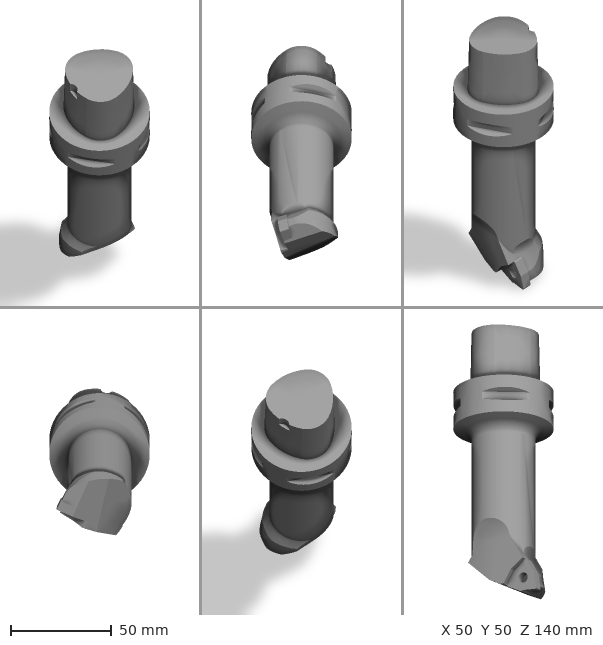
import cadquery as cq
import math

SHANK_HEIGHT = 30.0
LOBE_REACH = 18.5
SIDE_REACH = 16.5
SIDE_RADIUS = 26.7
SHANK_INSET = 0.75
LOBE_TURNS = (0, 120, 240)
NOTCH_RADIUS = 3.65
NOTCH_DEPTH = 5.6
NOTCH_FLOOR_Y = -14.0

FLANGE_RADIUS = 25.0
FLANGE_HEIGHT = 19.6
FLARE_RADIUS = 19.5
FLARE_Z = -21.2
FLARE_SAG = 0.9
NECK_RADIUS = 16.0
NECK_TOP_Z = -26.7
GRIP_SLOTS = 4
GRIP_FLAT_REACH = 22.0
GRIP_FLOOR_HEIGHT = 3.8
GRIP_MOUTH_HEIGHT = 7.0
GRIP_Z = -10.0

TOOL_END_Z = -110.0
SHOULDER_TOP_Z = -88.2
SHOULDER_Z = -94.2
SHOULDER_RADIUS = 19.3
CHEEK_END_RADIUS = 21.3
BELLY_RADIUS = 21.0
BELLY_X = -1.7
BELLY_Y = 2.15
BELLY_END_X = 8.2
SIDE_WALL_END = (13.7, -8.2)
NOSE_TOP_Z = -76.0
CUTTER_SIZE = 120.0
SLOPE_CORNER = (0.6, -102.4)
UPPER_SLOPE = 45.0
LOWER_SLOPE = 28.0

FLANK_POINT = (-15.15, -3.0, -91.5)
FLANK_NORMAL = (-1.0, -0.2, 0.498)
FLANK_RUNOUT_RADIUS = 6.0
FLANK_RUNOUT_TILT = 5.0

GULLET_POINT = (0.0, 12.45, -81.4)
GULLET_NORMAL = (-0.22, 1.0, -0.12)
GULLET_RUNOUT_RADIUS = 18.0
RAKE_NORMAL = (-0.24, 1.0, -0.15)

INSERT_SIDES = 3
INSERT_CIRCLE = 12.7
INSERT_THICKNESS = 4.76
INSERT_HOLE = 5.16
INSERT_NOSE_RADIUS = 0.8
INSERT_CORNER = 80.0
INSERT_BEND = 20.0
INSERT_LEAD = 5.0
INSERT_TIP = (-21.9, -0.2, -110.08)
SIDE_CLEARANCE = 0.6

POCKET_HEIGHT = 3 * INSERT_THICKNESS
CHIP_ROOM_Z = -105.7

SOLE_POINT = (-20.3, -4.0, -106.8)
SOLE_NORMAL = (-0.29, -0.17, -1.0)


def polar(radius, degrees):
    angle = math.radians(degrees)
    return (radius * math.cos(angle), radius * math.sin(angle))


def horizontal_along(normal):
    """Level direction in the plane, chosen so the plane's local Y points up."""
    return (-normal[1], normal[0], 0)


def plane_at(point, normal):
    return cq.Plane(point, horizontal_along(normal), normal)


def half_space(plane):
    """Large block covering the outer side of a plane."""
    return cq.Workplane(plane).rect(2 * CUTTER_SIZE, 2 * CUTTER_SIZE).extrude(CUTTER_SIZE)


def runout_cutter(plane, radius):
    """Half space that ends upward in a concave arc tangent to the plane."""
    bend_x, bend_y = polar(radius, -45)
    profile_plane = cq.Plane(plane.origin, plane.yDir, plane.xDir)
    return (
        cq.Workplane(profile_plane)
        .moveTo(-CUTTER_SIZE, 0)
        .lineTo(0, 0)
        .threePointArc((bend_x, radius + bend_y), (radius, radius))
        .lineTo(radius, CUTTER_SIZE)
        .lineTo(-CUTTER_SIZE, CUTTER_SIZE)
        .close()
        .extrude(CUTTER_SIZE, both=True)
    )


def make_shank():
    side_offset = SIDE_RADIUS - SIDE_REACH
    gap = SIDE_RADIUS - LOBE_REACH
    lobe_offset = (side_offset**2 - gap**2) / (2 * gap - side_offset)
    lobe_radius = LOBE_REACH - lobe_offset
    reach = SIDE_RADIUS - lobe_radius
    lobe_x, lobe_y = polar(lobe_offset, -30)
    join_x = lobe_x * SIDE_RADIUS / reach
    join_y = side_offset + (lobe_y - side_offset) * SIDE_RADIUS / reach
    join_radius = math.hypot(join_x, join_y)
    join_angle = math.degrees(math.atan2(join_y, join_x))

    outline = cq.Workplane("XY").moveTo(-join_x, join_y)
    for turn in LOBE_TURNS:
        outline = outline.threePointArc(
            polar(SIDE_REACH, turn - 90), polar(join_radius, join_angle + turn)
        )
        outline = outline.threePointArc(
            polar(LOBE_REACH, turn - 30), polar(join_radius, turn - 60 - join_angle)
        )
    taper = math.degrees(math.atan(SHANK_INSET / SHANK_HEIGHT))
    shank = outline.close().extrude(SHANK_HEIGHT, taper=taper)
    notch = (
        cq.Workplane("XY", origin=(0, NOTCH_FLOOR_Y - NOTCH_RADIUS, SHANK_HEIGHT - NOTCH_DEPTH))
        .circle(NOTCH_RADIUS)
        .extrude(NOTCH_DEPTH)
    )
    return shank.cut(notch)


def make_flange_and_neck():
    middle_radius = (FLARE_RADIUS + NECK_RADIUS) / 2 - FLARE_SAG
    middle_z = (FLARE_Z + NECK_TOP_Z) / 2 + FLARE_SAG
    turned = (
        cq.Workplane("XZ")
        .moveTo(0, 0)
        .lineTo(FLANGE_RADIUS, 0)
        .lineTo(FLANGE_RADIUS, -FLANGE_HEIGHT)
        .lineTo(FLARE_RADIUS, FLARE_Z)
        .threePointArc((middle_radius, middle_z), (NECK_RADIUS, NECK_TOP_Z))
        .lineTo(NECK_RADIUS, TOOL_END_Z)
        .lineTo(0, TOOL_END_Z)
        .close()
        .revolve(360, (0, 0, 0), (0, 1, 0))
    )
    half_floor = GRIP_FLOOR_HEIGHT / 2
    half_mouth = GRIP_MOUTH_HEIGHT / 2
    slot = (
        cq.Workplane("XZ", origin=(0, 0, GRIP_Z))
        .polyline([
            (GRIP_FLAT_REACH, -half_floor),
            (FLANGE_RADIUS, -half_mouth),
            (FLANGE_RADIUS, half_mouth),
            (GRIP_FLAT_REACH, half_floor),
        ])
        .close()
        .extrude(FLANGE_RADIUS, both=True)
    )
    for index in range(GRIP_SLOTS):
        angle = (index + 0.5) * 360 / GRIP_SLOTS
        turned = turned.cut(slot.rotate((0, 0, 0), (0, 0, 1), angle))
    return turned


def make_head_blank():
    """Head before the flank, chip face and underside are cut; the nose rises above the shoulder cone."""
    base = cq.Workplane("XY", origin=(0, 0, TOOL_END_Z))
    depth = NOSE_TOP_Z - TOOL_END_Z
    left_x = BELLY_X - BELLY_RADIUS
    belly_end_y = BELLY_Y - math.sqrt(BELLY_RADIUS**2 - (BELLY_END_X - BELLY_X)**2)
    column = (
        base.moveTo(left_x, BELLY_Y)
        .threePointArc((BELLY_X, BELLY_Y - BELLY_RADIUS), (BELLY_END_X, belly_end_y))
        .lineTo(*SIDE_WALL_END)
        .lineTo(SIDE_WALL_END[0], NECK_RADIUS)
        .lineTo(left_x, NECK_RADIUS)
        .close()
        .extrude(depth)
    )
    shoulder = (
        cq.Workplane("XZ")
        .polyline([
            (0, SHOULDER_TOP_Z),
            (NECK_RADIUS, SHOULDER_TOP_Z),
            (SHOULDER_RADIUS, SHOULDER_Z),
            (CHEEK_END_RADIUS, TOOL_END_Z),
            (0, TOOL_END_Z),
        ])
        .close()
        .revolve(360, (0, 0, 0), (0, 1, 0))
    )
    nose = base.rect(left_x, NECK_RADIUS, centered=False).extrude(depth)
    return column.intersect(shoulder.union(nose))


rake_plane = plane_at(INSERT_TIP, RAKE_NORMAL)


def trigon_outline():
    """Six equal edges, starting up the side cutting edge from the cutting corner."""
    half_corner = math.radians(INSERT_CORNER / 2)
    half_bend = math.radians(INSERT_BEND / 2)
    edge = INSERT_CIRCLE / 2 * (1 / math.tan(half_corner) + math.tan(half_bend))
    heading = 90 + INSERT_LEAD
    x, y = 0.0, 0.0
    outline = []
    for _ in range(INSERT_SIDES):
        for turn in (INSERT_BEND, 180 - INSERT_CORNER):
            outline.append((x, y))
            step_x, step_y = polar(edge, heading)
            x += step_x
            y += step_y
            heading += turn
    return outline


def insert_blank(height):
    """Trigon prism on the insert's seat, with rounded cutting corners."""
    outline = trigon_outline()
    seat = cq.Workplane(rake_plane).workplane(offset=-INSERT_THICKNESS)
    blank = seat.polyline(outline).close().extrude(height)
    for x, y in outline[::2]:
        corner = rake_plane.toWorldCoords((x, y, height / 2 - INSERT_THICKNESS))
        nearest = cq.selectors.NearestToPointSelector(corner.toTuple())
        blank = blank.edges(nearest).fillet(INSERT_NOSE_RADIUS)
    return blank


def make_insert():
    corner_reach = INSERT_CIRCLE / 2 / math.sin(math.radians(INSERT_CORNER / 2))
    middle_x, middle_y = polar(corner_reach, 90 + INSERT_LEAD + INSERT_CORNER / 2)
    hole = (
        cq.Workplane(rake_plane)
        .center(middle_x, middle_y)
        .circle(INSERT_HOLE / 2)
        .extrude(-INSERT_THICKNESS)
    )
    return insert_blank(INSERT_THICKNESS).cut(hole)


def side_clearance_plane():
    """Plane square to the rake face, set back behind the side cutting edge."""
    out_x, out_y = polar(1, INSERT_LEAD)
    point = rake_plane.toWorldCoords((-SIDE_CLEARANCE * out_x, -SIDE_CLEARANCE * out_y, 0))
    normal = rake_plane.toWorldCoords((out_x, out_y, 0)) - rake_plane.origin
    return cq.Plane(point, rake_plane.zDir, normal)


def underside_plane(slope):
    angle = math.radians(slope)
    corner_x, corner_z = SLOPE_CORNER
    return cq.Plane((corner_x, 0, corner_z), (0, 1, 0), (math.sin(angle), 0, -math.cos(angle)))


def make_holder():
    flank_plane = plane_at(FLANK_POINT, FLANK_NORMAL)
    gullet_plane = plane_at(GULLET_POINT, GULLET_NORMAL)
    runout_plane = flank_plane.rotated((0, 0, FLANK_RUNOUT_TILT))
    body = make_flange_and_neck().cut(runout_cutter(runout_plane, FLANK_RUNOUT_RADIUS))
    head = make_head_blank().cut(half_space(flank_plane)).cut(half_space(side_clearance_plane()))
    body = body.union(head)
    body = body.cut(runout_cutter(gullet_plane, GULLET_RUNOUT_RADIUS))
    for slope in (UPPER_SLOPE, LOWER_SLOPE):
        body = body.cut(half_space(underside_plane(slope)))
    body = body.cut(half_space(plane_at(SOLE_POINT, SOLE_NORMAL)))
    below_chip_room = half_space(cq.Plane((0, 0, CHIP_ROOM_Z), (1, 0, 0), (0, 0, -1)))
    body = body.cut(half_space(rake_plane).intersect(below_chip_room))
    pocket = insert_blank(POCKET_HEIGHT)
    return body.cut(pocket).union(make_shank())


holder = make_holder().solids()
insert = make_insert().solids()

result = cq.Compound.makeCompound([holder.val(), insert.val()])